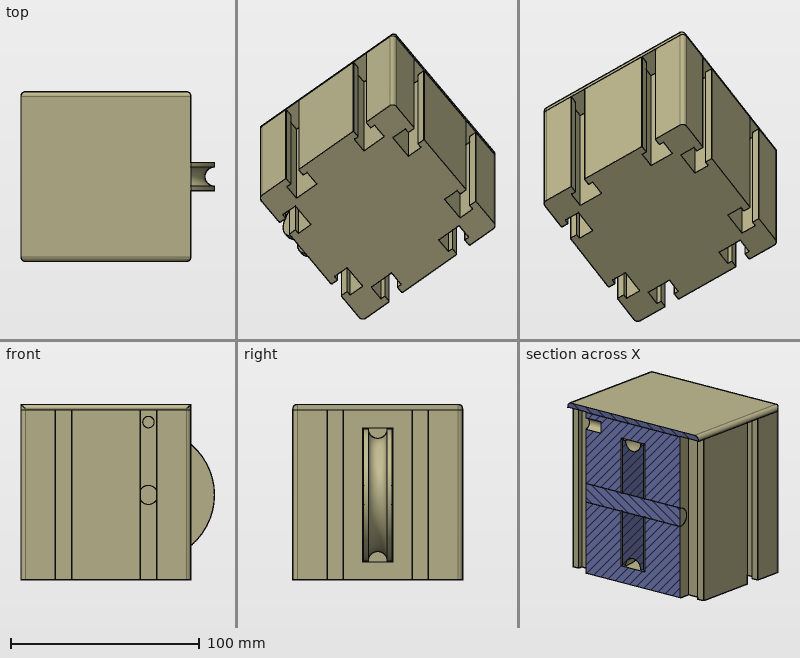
import cadquery as cq

SIDE = 90.0
POST_HEIGHT = 90.0
CORNER_RADIUS = 2.5

SLOT_OFFSET = SIDE / 4
SLOT_MOUTH = 8.3
SLOT_LIP = 4.1
SLOT_CHAMFER = 0.3
SLOT_CAVITY = 13.5
SLOT_DEPTH = 12.5

CAP_THICKNESS = 3.0
CAP_EDGE_RADIUS = 2.5

WHEEL_DIAMETER = 70.0
WHEEL_WIDTH = 15.0
GROOVE_RADIUS = 5.0
WHEEL_X = SLOT_OFFSET
WHEEL_Z = POST_HEIGHT / 2
WHEEL_CLEARANCE = 0.5

AXLE_DIAMETER = 10.0
AXLE_LENGTH = SIDE - 2 * SLOT_DEPTH

CROSS_HOLE_DIAMETER = 6.0
CROSS_HOLE_Z = 83.5
CROSS_HOLE_DEPTH = 10.2


def square_block(height):
    """Sharp-edged block of the post's section, standing on Z = 0."""
    return cq.Workplane().box(SIDE, SIDE, height, centered=(True, True, False))


def cylinder_along_y(diameter, length, x, z, y_start):
    """Cylinder running toward +Y from y_start."""
    plane = cq.Plane(origin=(x, y_start, z), xDir=(1, 0, 0), normal=(0, 1, 0))
    return cq.Workplane(plane).circle(diameter / 2).extrude(length)


def make_axle():
    """Plain pin that carries the wheel."""
    return cylinder_along_y(AXLE_DIAMETER, AXLE_LENGTH, WHEEL_X, WHEEL_Z, -AXLE_LENGTH / 2)


def make_slot(offset):
    """T-slot cutter for the -Y face with a chamfered mouth, offset along X."""
    face_y = -SIDE / 2
    mouth = cq.Workplane().box(SLOT_MOUTH, SLOT_DEPTH, POST_HEIGHT, centered=(True, False, False))
    cavity = (
        cq.Workplane()
        .box(SLOT_CAVITY, SLOT_DEPTH - SLOT_LIP, POST_HEIGHT, centered=(True, False, False))
        .translate((0, SLOT_LIP, 0))
    )
    flare = (
        cq.Workplane()
        .polyline([
            (-SLOT_MOUTH / 2 - SLOT_CHAMFER, 0),
            (SLOT_MOUTH / 2 + SLOT_CHAMFER, 0),
            (SLOT_MOUTH / 2, SLOT_CHAMFER),
            (-SLOT_MOUTH / 2, SLOT_CHAMFER),
        ])
        .close()
        .extrude(POST_HEIGHT)
    )
    return mouth.union(cavity).union(flare).translate((offset, face_y, 0))


def make_wheel_pocket():
    """Rectangular pocket open at the +X face, with clearance all round the wheel."""
    start_x = WHEEL_X - WHEEL_DIAMETER / 2 - WHEEL_CLEARANCE
    width = WHEEL_WIDTH + 2 * WHEEL_CLEARANCE
    height = WHEEL_DIAMETER + 2 * WHEEL_CLEARANCE
    return (
        cq.Workplane()
        .box(SIDE / 2 - start_x, width, height, centered=(False, True, True))
        .translate((start_x, 0, WHEEL_Z))
    )


def make_post():
    """Slotted post, cut out for the wheel, the axle and the cross hole."""
    post = square_block(POST_HEIGHT).edges("|Z").fillet(CORNER_RADIUS)
    for face_angle in (0, 90, 180, 270):
        for offset in (-SLOT_OFFSET, SLOT_OFFSET):
            post = post.cut(make_slot(offset).rotate((0, 0, 0), (0, 0, 1), face_angle))
    cross_hole = cylinder_along_y(
        CROSS_HOLE_DIAMETER, CROSS_HOLE_DEPTH, SLOT_OFFSET, CROSS_HOLE_Z, -SIDE / 2 + SLOT_DEPTH
    )
    return post.cut(make_wheel_pocket()).cut(make_axle()).cut(cross_hole)


def make_cap():
    """Plate on top of the post, its -Y and +Y top edges rounded."""
    outline = square_block(CAP_THICKNESS).edges("|Z").fillet(CORNER_RADIUS)
    rounded_top = square_block(CAP_THICKNESS).edges(">Z and |X").fillet(CAP_EDGE_RADIUS)
    return outline.intersect(rounded_top).translate((0, 0, POST_HEIGHT))


def make_wheel():
    """Disc with a half-round rim groove, bored for the axle."""
    outer = WHEEL_DIAMETER / 2
    bore = AXLE_DIAMETER / 2
    half_width = WHEEL_WIDTH / 2
    profile = (
        cq.Workplane("XY")
        .moveTo(bore, -half_width)
        .lineTo(outer, -half_width)
        .lineTo(outer, -GROOVE_RADIUS)
        .threePointArc((outer - GROOVE_RADIUS, 0), (outer, GROOVE_RADIUS))
        .lineTo(outer, half_width)
        .lineTo(bore, half_width)
        .close()
    )
    return profile.revolve(360, (0, 0, 0), (0, 1, 0)).translate((WHEEL_X, 0, WHEEL_Z))


post = make_post()
cap = make_cap()
wheel = make_wheel()
axle = make_axle()

result = cq.Compound.makeCompound([post.val(), cap.val(), wheel.val(), axle.val()])